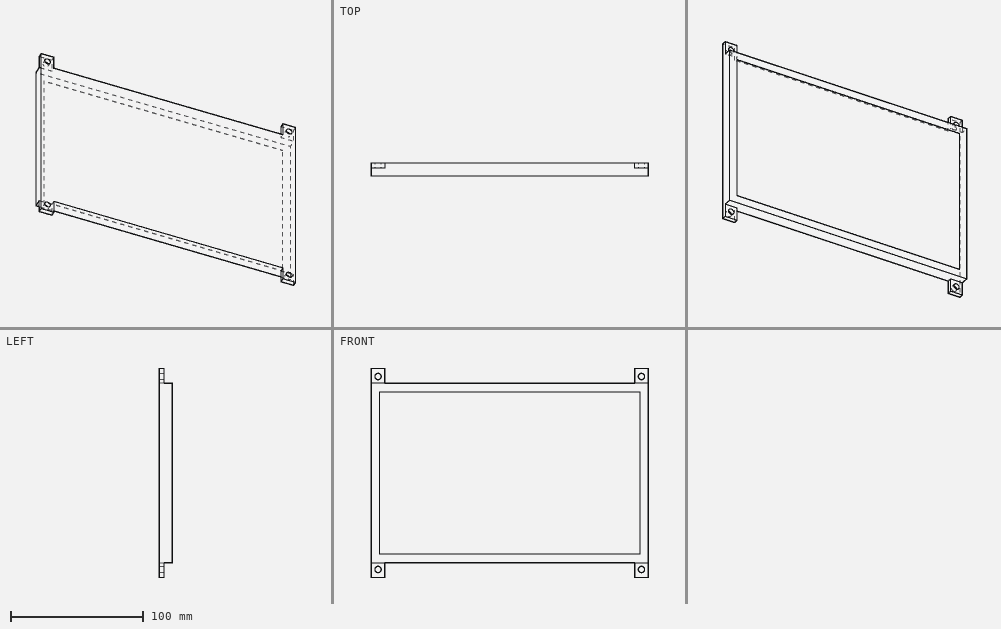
import cadquery as cq

width = 208.9
depth = 10.0
overall_height = 157.5
body_height = 135.4

border = 6.5
window_recess = 0.2

tab_width = 10.5
tab_thickness = 3.8
hole_diameter = 4.5
hole_side_offset = tab_width / 2
hole_end_offset = 6.0

tab_height = (overall_height - body_height) / 2
cut_margin = 2.0


def make_body():
    """Plain housing with a shallow screen window."""
    body = cq.Workplane("XY").box(width, depth, body_height)
    return (
        body.faces("<Y")
        .workplane(centerOption="CenterOfBoundBox")
        .rect(width - 2 * border, body_height - 2 * border)
        .cutBlind(-window_recess)
    )


def make_tab(x_side, z_side):
    """Drilled mounting tab at one corner of the housing."""
    tab_x = x_side * (width / 2 - tab_width / 2)
    tab_y = (depth - tab_thickness) / 2
    tab_z = z_side * (body_height + tab_height) / 2
    hole_x = x_side * (width / 2 - hole_side_offset)
    hole_z = z_side * (overall_height / 2 - hole_end_offset)
    tab = cq.Workplane("XY").box(tab_width, tab_thickness, tab_height)
    hole = (
        cq.Workplane("XZ", origin=(hole_x, depth / 2 + cut_margin, hole_z))
        .circle(hole_diameter / 2)
        .extrude(tab_thickness + 2 * cut_margin)
    )
    return tab.translate((tab_x, tab_y, tab_z)).cut(hole)


result = make_body()
for x_side in (-1, 1):
    for z_side in (-1, 1):
        result = result.union(make_tab(x_side, z_side))